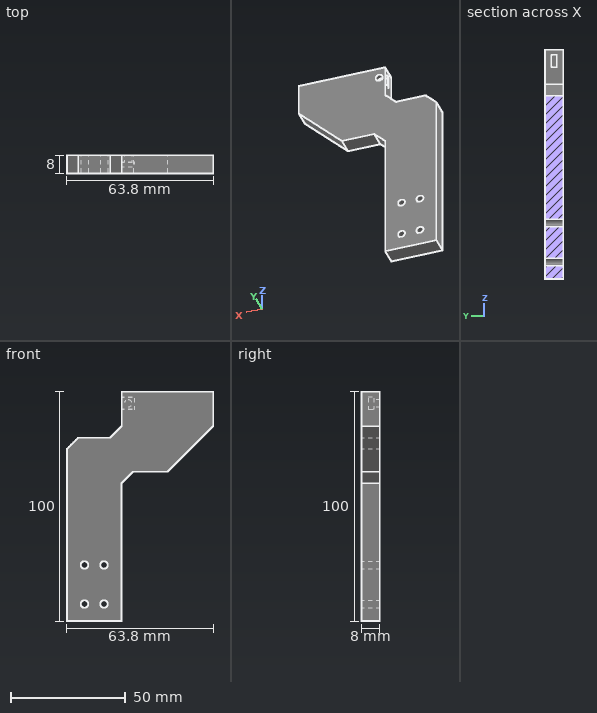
import cadquery as cq

plate_thickness = 8.0
total_height = 100.0
total_width = 63.8

leg_width = 23.8
shoulder_height = 80.0

chamfer = 5.0

head_underside = 65.0
underside_length = 15.0
head_side_height = 15.0

hole_diameter = 3.2
hole_spacing_x = 8.5
hole_spacing_z = 17.0
hole_center_x = leg_width / 2
hole_center_z = 16.0

slot_width = 2.3
slot_height = 5.35
slot_depth = 5.5
slot_chamfer = 0.25
slot_center_y = 4.1
slot_center_z = total_height - 5.0

screw_hole_diameter = 3.2
screw_hole_center_x = leg_width + slot_depth / 2


def make_plate():
    """Cranked plate outline in XZ, extruded from Y = 0 to the plate thickness."""
    outline = [
        (0, 0),
        (leg_width, 0),
        (leg_width, head_underside - chamfer),
        (leg_width + chamfer, head_underside),
        (leg_width + chamfer + underside_length, head_underside),
        (total_width, total_height - head_side_height),
        (total_width, total_height),
        (leg_width, total_height),
        (leg_width, shoulder_height + chamfer),
        (leg_width - chamfer, shoulder_height),
        (chamfer, shoulder_height),
        (0, shoulder_height - chamfer),
    ]
    return cq.Workplane("XZ").polyline(outline).close().extrude(-plate_thickness)


def make_mounting_holes():
    """Four cylinders through the full plate thickness."""
    return (
        cq.Workplane("XZ", origin=(hole_center_x, 0, hole_center_z))
        .rarray(hole_spacing_x, hole_spacing_z, 2, 2)
        .circle(hole_diameter / 2)
        .extrude(-plate_thickness)
    )


def make_nut_slot():
    """Blind slot in +X from the head end face, its two back corners chamfered."""
    return (
        cq.Workplane("YZ", origin=(leg_width, slot_center_y, slot_center_z))
        .rect(slot_width, slot_height)
        .extrude(slot_depth)
        .faces(">Y")
        .edges("|X")
        .chamfer(slot_chamfer)
    )


def make_screw_hole():
    """Cylinder along Y, from the middle of the nut slot out through the back face."""
    return (
        cq.Workplane("XZ", origin=(screw_hole_center_x, slot_center_y, slot_center_z))
        .circle(screw_hole_diameter / 2)
        .extrude(slot_center_y - plate_thickness)
    )


result = (
    make_plate()
    .cut(make_mounting_holes())
    .cut(make_nut_slot())
    .cut(make_screw_hole())
)